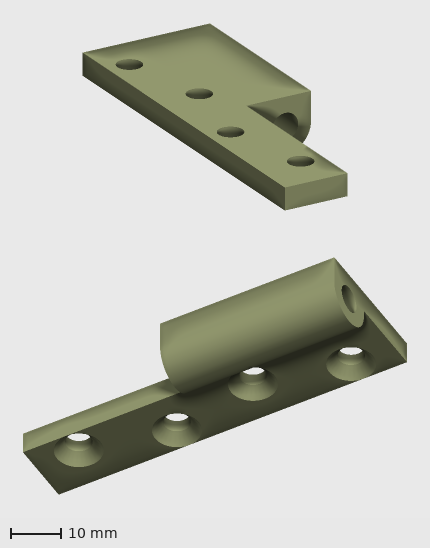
import cadquery as cq

leaf_length = 80.0
leaf_thickness = 5.0
strip_width = 14.5
total_width = 29.5

knuckle_length = leaf_length / 2
knuckle_radius = 6.0
pin_diameter = 6.0
pin_y = total_width - knuckle_radius
pin_drop = 6.5
pin_z = -pin_drop

screw_diameter = 5.5
countersink_diameter = 10.0
countersink_depth = (countersink_diameter - screw_diameter) / 2
screw_count = 4
screw_pitch = leaf_length / screw_count
front_row_y = 5.0
back_row_y = 9.5


def make_leaf():
    """L-shaped plate: a narrow full-length strip and a wide half over the knuckle."""
    outline = [
        (0, 0),
        (leaf_length, 0),
        (leaf_length, strip_width),
        (knuckle_length, strip_width),
        (knuckle_length, total_width),
        (0, total_width),
    ]
    return cq.Workplane("XY").polyline(outline).close().extrude(-leaf_thickness)


def make_knuckle():
    """Half-round knuckle whose flat sides run straight up into the leaf."""
    return (
        cq.Workplane("YZ")
        .moveTo(total_width, 0)
        .lineTo(total_width, pin_z)
        .threePointArc(
            (pin_y, pin_z - knuckle_radius),
            (pin_y - knuckle_radius, pin_z),
        )
        .lineTo(pin_y - knuckle_radius, 0)
        .close()
        .extrude(knuckle_length)
    )


def make_pin_bore():
    """Pin hole through the full length of the knuckle."""
    return cq.Workplane("YZ").center(pin_y, pin_z).circle(pin_diameter / 2).extrude(knuckle_length)


def make_screw_hole(x, y):
    """Through hole with a countersink opening on the underside of the leaf."""
    shank = cq.Workplane("XY").center(x, y).circle(screw_diameter / 2).extrude(-leaf_thickness)
    cone = cq.Solid.makeCone(
        countersink_diameter / 2,
        screw_diameter / 2,
        countersink_depth,
        pnt=cq.Vector(x, y, -leaf_thickness),
    )
    return shank.union(cq.Workplane(cone))


result = make_leaf().union(make_knuckle()).cut(make_pin_bore())

rows = (front_row_y, back_row_y)
for index in range(screw_count):
    hole_x = (index + 0.5) * screw_pitch
    hole_y = rows[index % len(rows)]
    result = result.cut(make_screw_hole(hole_x, hole_y))